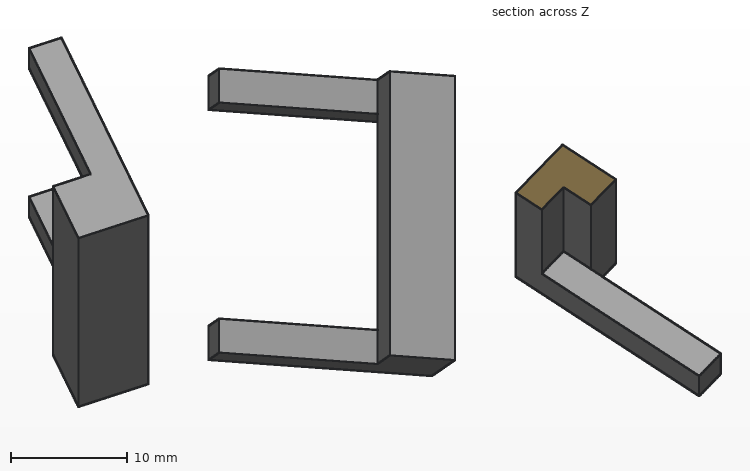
import cadquery as cq

length_x = 20.2
depth_y = 6.5
height_z = 25.1

bar_width = 5.9
arm_thickness = 3.0
recess_depth = arm_thickness

arm_length = length_x - bar_width
arm_front_y = depth_y - arm_thickness
arm_gap = height_z - 2 * arm_thickness


def corner_box(size_x, size_y, size_z, corner):
    """Box whose lowest X, Y, Z corner sits at the given point."""
    return cq.Workplane("XY").box(size_x, size_y, size_z, centered=False).translate(corner)


bar = corner_box(bar_width, depth_y, height_z, (arm_length, 0, 0))

recess_corner = (arm_length, arm_front_y, arm_thickness)
recess = corner_box(recess_depth, arm_thickness, arm_gap, recess_corner)
result = bar.cut(recess)

for arm_bottom in (0, height_z - arm_thickness):
    arm_corner = (0, arm_front_y, arm_bottom)
    arm = corner_box(arm_length, arm_thickness, arm_thickness, arm_corner)
    result = result.union(arm)